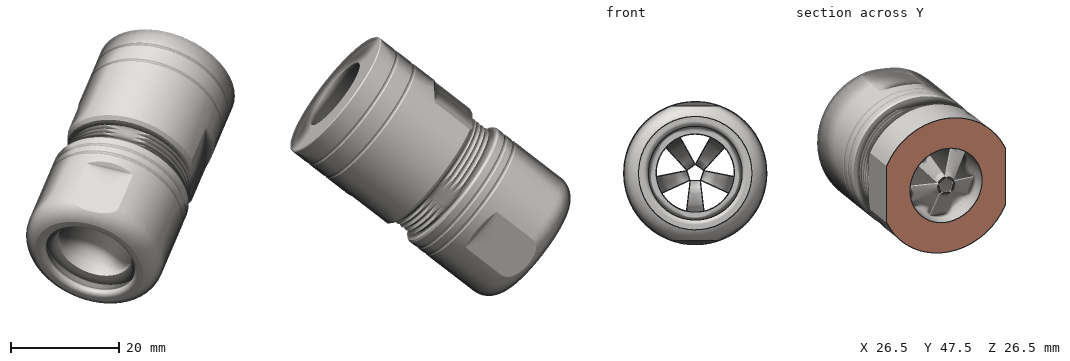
import cadquery as cq
import math

length = 47.5
outer_radius = 13.25

nut_end = 19.55
nut_end_chamfer_radial = 0.25
nut_end_chamfer_axial = 0.4
nose_face_radius = 10.5
nose_length = 3.85
lip_radius = 8.7
lip_round = 0.9
nut_groove_centers = (15.5, 17.5)
nut_groove_width = 0.75
nut_flat_height = 12.45
nut_flat_end = 12.5

body_start = 24.4
body_chamfer = 0.6
back_chamfer = 0.2
body_groove_centers = (39.42, 43.5)
body_groove_width = 0.7
body_flat_height = 12.0
body_flat_end = 33.45

groove_depth = 0.2

gasket_face = 3.4
bore_radius = 7.2

thread_pitch = 1.0
thread_crest_radius = 12.0
thread_root_radius = 11.25
thread_flat_height = 11.15
thread_root_overlap = 0.15
thread_root_gap = 0.1
thread_run_in = 0.48

finger_count = 5
finger_start = 28.5
finger_bend_radius = 2.4
finger_tip_radius = 1.35
finger_slope = 0.6
finger_tip_slope = 1.0
finger_thickness = 0.48
finger_root_overlap = 0.48
finger_root_half_width = 1.7
finger_tip_half_width = 0.95


def revolve_about_y(profile):
    return profile.close().revolve(360, (0, 0, 0), (0, 1, 0))


def annulus(inner_radius, radius, start, end):
    profile = cq.Workplane("XY").moveTo(inner_radius, start).lineTo(radius, start)
    return revolve_about_y(profile.lineTo(radius, end).lineTo(inner_radius, end))


def add_grooves(profile, centers, width):
    """Run the outline along the outer radius in +Y, dipping into a rounded groove at each center."""
    for center in centers:
        profile = profile.lineTo(outer_radius, center - width / 2)
        profile = profile.threePointArc(
            (outer_radius - groove_depth, center),
            (outer_radius, center + width / 2),
        )
    return profile


def flat_cutter(height, start, end):
    """Wedge above a flat at Z = height whose far end climbs out at 45 degrees."""
    margin = 2.38
    top = outer_radius + margin
    profile = cq.Workplane("YZ").moveTo(start, height).lineTo(end, height)
    profile = profile.lineTo(end + top - height, top).lineTo(start, top).close()
    return profile.extrude(outer_radius, both=True)


def cut_opposite_flats(solid, cutter, first_angle):
    for angle in (first_angle, first_angle + 180):
        solid = solid.cut(cutter.rotate((0, 0, 0), (0, 1, 0), angle))
    return solid


def make_nut():
    nose_inset = outer_radius - nose_face_radius
    nose_arc_radius = (nose_inset**2 + nose_length**2) / (2 * nose_inset)
    half_sweep = math.asin(nose_length / nose_arc_radius) / 2
    nose_midpoint = (
        outer_radius - nose_arc_radius * (1 - math.cos(half_sweep)),
        nose_length - nose_arc_radius * math.sin(half_sweep),
    )
    lip_center_radius = lip_radius + lip_round
    diagonal = lip_round * math.sqrt(0.5)
    lip_front_midpoint = (lip_center_radius - diagonal, lip_round - diagonal)
    lip_back_midpoint = (lip_center_radius - diagonal, lip_round + diagonal)

    profile = cq.Workplane("XY").moveTo(lip_center_radius, 0).lineTo(nose_face_radius, 0)
    profile = profile.threePointArc(nose_midpoint, (outer_radius, nose_length))
    profile = add_grooves(profile, nut_groove_centers, nut_groove_width)
    profile = profile.lineTo(outer_radius, nut_end - nut_end_chamfer_axial)
    profile = profile.lineTo(outer_radius - nut_end_chamfer_radial, nut_end)
    profile = profile.lineTo(bore_radius, nut_end).lineTo(bore_radius, gasket_face)
    profile = profile.lineTo(lip_center_radius, gasket_face).lineTo(lip_center_radius, 2 * lip_round)
    profile = profile.threePointArc(lip_back_midpoint, (lip_radius, lip_round))
    profile = profile.threePointArc(lip_front_midpoint, (lip_center_radius, 0))
    nut = revolve_about_y(profile)
    return cut_opposite_flats(nut, flat_cutter(nut_flat_height, 0, nut_flat_end), 0)


def make_body():
    profile = cq.Workplane("XY").moveTo(bore_radius, body_start)
    profile = profile.lineTo(outer_radius - body_chamfer, body_start)
    profile = profile.lineTo(outer_radius, body_start + body_chamfer)
    profile = add_grooves(profile, body_groove_centers, body_groove_width)
    profile = profile.lineTo(outer_radius, length - back_chamfer)
    profile = profile.lineTo(outer_radius - back_chamfer, length).lineTo(bore_radius, length)
    body = revolve_about_y(profile)
    cutter = flat_cutter(body_flat_height, body_start, body_flat_end)
    return cut_opposite_flats(body, cutter, 90)


def make_thread():
    start = nut_end - thread_run_in - thread_pitch
    end = body_start + thread_run_in + thread_pitch
    core_start = start - thread_pitch
    core_end = end + thread_pitch

    base_radius = thread_root_radius - thread_root_overlap
    base_half_width = (thread_pitch - thread_root_gap) / 2
    helix = cq.Wire.makeHelix(thread_pitch, end - start, base_radius)
    ridge = (
        cq.Workplane("XZ")
        .moveTo(base_radius, -base_half_width)
        .lineTo(thread_crest_radius, 0)
        .lineTo(base_radius, base_half_width)
        .close()
        .sweep(cq.Workplane("XY").newObject([helix]), isFrenet=True)
        .rotate((0, 0, 0), (1, 0, 0), -90)
        .translate((0, start, 0))
    )
    slab = cq.Workplane("XY").box(2 * outer_radius, 2 * length, 2 * thread_flat_height)
    core = annulus(bore_radius, thread_root_radius, core_start, core_end)
    return core.union(ridge.intersect(slab))


def make_fingers():
    root_radius = bore_radius + finger_root_overlap
    root_y = finger_start - finger_slope * finger_root_overlap
    bend_y = finger_start + finger_slope * (bore_radius - finger_bend_radius)
    shell_inner_radius = finger_tip_radius - finger_root_overlap
    tip_y = bend_y + finger_tip_slope * (finger_bend_radius - shell_inner_radius)
    profile = cq.Workplane("XY").moveTo(root_radius, root_y)
    profile = profile.lineTo(finger_bend_radius, bend_y).lineTo(shell_inner_radius, tip_y)
    profile = profile.lineTo(shell_inner_radius, tip_y + finger_thickness)
    profile = profile.lineTo(finger_bend_radius, bend_y + finger_thickness)
    shell = revolve_about_y(profile.lineTo(root_radius, root_y + finger_thickness))

    strip = (
        cq.Workplane("XZ")
        .moveTo(-finger_tip_half_width, -finger_tip_radius)
        .lineTo(finger_tip_half_width, -finger_tip_radius)
        .lineTo(finger_root_half_width, -root_radius)
        .lineTo(-finger_root_half_width, -root_radius)
        .close()
        .extrude(-length)
    )
    finger = shell.intersect(strip)
    step = 360 / finger_count
    return [finger.rotate((0, 0, 0), (0, 1, 0), index * step) for index in range(finger_count)]


result = make_nut().union(make_thread()).union(make_body())
for contact_finger in make_fingers():
    result = result.union(contact_finger)